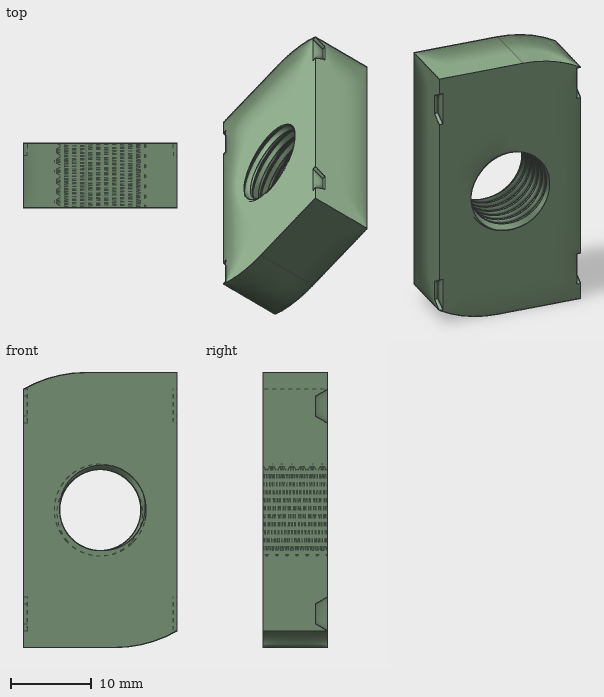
import cadquery as cq
import math

width = 19.0
thickness = 8.0
length = 34.0

corner_radius = 15.5
corner_sweep = math.radians(30.0)
corner_run = corner_radius * math.sin(corner_sweep)
corner_drop = corner_radius * (1 - math.cos(corner_sweep))

notch_mouth = 4.2
notch_depth = 1.5
notch_flare_angle = 30.0
notch_draft_angle = 1.5
notch_reach = 0.5
notch_end_distance = corner_drop + notch_mouth / 2

thread_minor_radius = 5.0
thread_pitch = 1.25
flank_angle = math.radians(30.0)
thread_start_angle = 45.0
crest_flat = thread_pitch / 4
root_flat = thread_pitch / 8
thread_depth = (thread_pitch - crest_flat - root_flat) / 2 / math.tan(flank_angle)
thread_overrun_turns = 2
bore_overlap = 0.2


def make_plate():
    """Rectangle with tangent arcs on the -X/+Z and +X/-Z corners."""
    half_width = width / 2
    half_length = length / 2
    arc_start_x = half_width - corner_run
    arc_end_z = half_length - corner_drop
    return (
        cq.Workplane("XZ")
        .moveTo(half_width, half_length)
        .lineTo(-arc_start_x, half_length)
        .tangentArcPoint((-half_width, arc_end_z), relative=False)
        .lineTo(-half_width, -half_length)
        .lineTo(arc_start_x, -half_length)
        .tangentArcPoint((half_width, -arc_end_z), relative=False)
        .close()
        .extrude(thickness / 2, both=True)
    )


def make_notch(side, end):
    """Trapezoidal notch on the given X side (-1 or 1) and Z end (-1 or 1), with a drafted end wall."""
    back = thickness / 2
    floor = back - notch_depth
    half_mouth = notch_mouth / 2
    half_floor = half_mouth - notch_depth * math.tan(math.radians(notch_flare_angle))
    floor_reach = notch_reach - notch_depth * math.tan(math.radians(notch_draft_angle))
    edge_x = side * width / 2
    centre_z = end * (length / 2 - notch_end_distance)
    channel = (
        cq.Workplane("YZ", origin=(edge_x, 0, centre_z))
        .polyline([(back, half_mouth), (floor, half_floor), (floor, -half_floor), (back, -half_mouth)])
        .close()
        .extrude(-side * notch_reach)
    )
    wall_limit = (
        cq.Workplane("XY", origin=(0, 0, centre_z))
        .polyline(
            [
                (edge_x, back),
                (edge_x - side * notch_reach, back),
                (edge_x - side * floor_reach, floor),
                (edge_x, floor),
            ]
        )
        .close()
        .extrude(half_mouth, both=True)
    )
    return channel.intersect(wall_limit)


def make_bore():
    """Through hole at the minor diameter of the thread."""
    return cq.Workplane("XZ").circle(thread_minor_radius).extrude(thickness / 2, both=True)


def make_thread_groove():
    """Right-hand helical groove, longer than the bore, with its root at the start angle on the -Y face."""
    overrun = thread_overrun_turns * thread_pitch
    helix = cq.Wire.makeHelix(thread_pitch, thickness + 2 * overrun, thread_minor_radius)
    inner_radius = thread_minor_radius - bore_overlap
    root_radius = thread_minor_radius + thread_depth
    inner_half = (thread_pitch - crest_flat) / 2 + bore_overlap * math.tan(flank_angle)
    root_half = root_flat / 2
    groove = (
        cq.Workplane("XZ")
        .polyline(
            [
                (inner_radius, -inner_half),
                (root_radius, -root_half),
                (root_radius, root_half),
                (inner_radius, inner_half),
            ]
        )
        .close()
        .sweep(cq.Workplane(obj=helix), isFrenet=True)
    )
    along_y = groove.rotate((0, 0, 0), (1, 0, 0), -90)
    turned = along_y.rotate((0, 0, 0), (0, 1, 0), -thread_start_angle)
    return turned.translate((0, -thickness / 2 - overrun, 0))


result = make_plate()
for side in (-1, 1):
    for end in (-1, 1):
        result = result.cut(make_notch(side, end))
result = result.cut(make_bore()).cut(make_thread_groove())